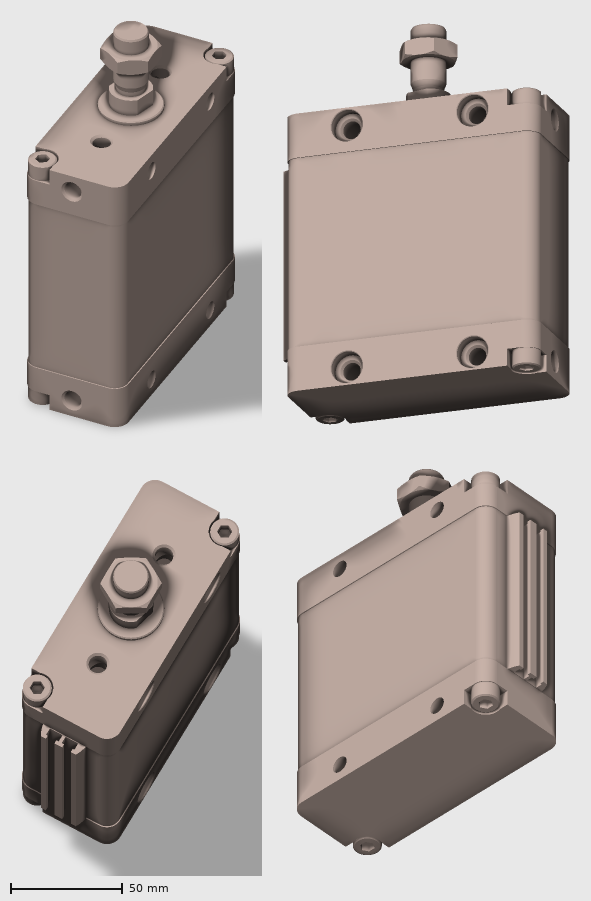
import cadquery as cq
import math


TOTAL_HEIGHT = 174.0
BODY_HEIGHT = 132.0
CAP_HEIGHT = 21.0
BARREL_HEIGHT = BODY_HEIGHT - 2 * CAP_HEIGHT

CAP_X = 50.0
CAP_Y = 121.0
CORNER_RADIUS = 7.0

BARREL_STEP = 0.5
RAIL_HEIGHT = 5.5
RAIL_FLOOR = 0.3
RAIL_LIP = 1.7
RIB_THICKNESS = 1.5
RIB_HEAD_WIDTH = 4.0
HOOK_TIP_X = 6.5
HOOK_WALL_X = 7.3
HOOK_TOP_X = 9.0
HOOK_BULGE_X = 10.3
HOOK_FOOT_X = 11.1

RECESS_DEPTH = 8.0
RECESS_DIAMETER = 14.5
RECESS_WALL = 6.8
HEAD_DIAMETER = 13.0
HEAD_TOP_DIAMETER = 11.5
HEAD_GAP = 0.2
HEAD_CHAMFER_HEIGHT = 0.5
SOCKET_FLATS = 6.0
SOCKET_DEPTH = 5.2
SOCKET_CONE_DEPTH = 1.7

HOLE_DIAMETER = 8.4
HOLE_MOUTH_DIAMETER = 10.5
HOLE_DEPTH = 15.0
HOLE_SPACING = 60.0
SIDE_HOLE_OFFSET = 8.5
COUNTERBORE_DIAMETER = 15.0
COUNTERBORE_MOUTH_DIAMETER = 15.7
COUNTERBORE_DEPTH = 6.0

COLLAR_DIAMETER = 30.0
COLLAR_HEIGHT = 2.1
COLLAR_CHAMFER = 0.5

ROD_DIAMETER = 20.0
ROD_FLATS = 17.0
ROD_FLATS_ANGLE = -15.0
ROD_SHOULDER_Z = 142.3
THREAD_DIAMETER = 16.0
THREAD_TIP_DIAMETER = 15.0
THREAD_TIP_LENGTH = 0.9
THREAD_END_Z = 147.5
NECK_DIAMETER = 14.0
NECK_TOP_Z = 144.8

NUT_FLATS = 24.0
NUT_HEIGHT = 8.0
NUT_TOP_Z = 166.0
NUT_CHAMFER_ANGLE = 30.0


def revolved(profile):
    """Solid of revolution about Z from (radius, height) points."""
    return cq.Workplane("XZ").polyline(profile).close().revolve(360, (0, 0), (0, 1))


def across_corners(flats):
    """Distance across the corners of a hexagon with the given distance across flats."""
    return flats / math.cos(math.pi / 6)


def hexagon_prism(flats, height):
    """Hexagon prism that stands on Z = 0 with two flats facing +X and -X."""
    prism = cq.Workplane("XY").polygon(6, across_corners(flats)).extrude(height)
    return prism.rotate((0, 0, 0), (0, 0, 1), 30)


def mouthed_hole(diameter, mouth_diameter, depth):
    """Cutter that goes down from Z = 0, with a 45 degree chamfer at its mouth."""
    radius = diameter / 2
    mouth_radius = mouth_diameter / 2
    return revolved([
        (0, 0),
        (mouth_radius, 0),
        (radius, radius - mouth_radius),
        (radius, -depth),
        (0, -depth),
    ])


def corner_recess():
    """Cutter for the screw recess at the -X, -Y corner, seen from the screw axis."""
    floor_z = CAP_HEIGHT - RECESS_DEPTH
    round_part = cq.Workplane("XY").circle(RECESS_DIAMETER / 2)
    round_part = round_part.extrude(RECESS_DEPTH)
    toward_y = cq.Workplane("XY").box(
        CORNER_RADIUS + RECESS_WALL, CORNER_RADIUS, RECESS_DEPTH, centered=False
    ).translate((-CORNER_RADIUS, -CORNER_RADIUS, 0))
    toward_x = cq.Workplane("XY").box(
        CORNER_RADIUS, CORNER_RADIUS + RECESS_WALL, RECESS_DEPTH, centered=False
    ).translate((-CORNER_RADIUS, -CORNER_RADIUS, 0))
    return round_part.union(toward_y).union(toward_x).translate((0, 0, floor_z))


def screw_head():
    """Chamfered screw head on the recess floor, with a hexagon socket that ends in a cone."""
    floor_z = CAP_HEIGHT - RECESS_DEPTH
    top_z = CAP_HEIGHT - HEAD_GAP
    head = revolved([
        (0, floor_z),
        (HEAD_DIAMETER / 2, floor_z),
        (HEAD_DIAMETER / 2, top_z - HEAD_CHAMFER_HEIGHT),
        (HEAD_TOP_DIAMETER / 2, top_z),
        (0, top_z),
    ])
    socket = hexagon_prism(SOCKET_FLATS, SOCKET_DEPTH).translate((0, 0, top_z - SOCKET_DEPTH))
    cone = revolved([(0, 0), (SOCKET_FLATS / 2, 0), (0, -SOCKET_CONE_DEPTH)])
    return head.cut(socket).cut(cone.translate((0, 0, top_z - SOCKET_DEPTH)))


def end_cap():
    """Cap with its inner face at Z = 0 and its screw heads at the outer face above."""
    cap = cq.Workplane("XY").rect(CAP_X, CAP_Y).extrude(CAP_HEIGHT)
    cap = cap.edges("|Z").fillet(CORNER_RADIUS)
    side_hole_z = CAP_HEIGHT - SIDE_HOLE_OFFSET

    port = mouthed_hole(HOLE_DIAMETER, HOLE_MOUTH_DIAMETER, HOLE_DEPTH)
    port = port.rotate((0, 0, 0), (1, 0, 0), 90)
    cap = cap.cut(port.translate((0, -CAP_Y / 2, side_hole_z)))

    counterbore = mouthed_hole(COUNTERBORE_DIAMETER, COUNTERBORE_MOUTH_DIAMETER, COUNTERBORE_DEPTH)
    through_hole = mouthed_hole(HOLE_DIAMETER, HOLE_MOUTH_DIAMETER, CAP_X - COUNTERBORE_DEPTH)
    cross_hole = counterbore.union(through_hole.translate((0, 0, -COUNTERBORE_DEPTH)))
    cross_hole = cross_hole.rotate((0, 0, 0), (0, 1, 0), -90)
    for side in (-1, 1):
        place = (-CAP_X / 2, side * HOLE_SPACING / 2, side_hole_z)
        cap = cap.cut(cross_hole.translate(place))

    screw_place = (CORNER_RADIUS - CAP_X / 2, CORNER_RADIUS - CAP_Y / 2, 0)
    for turn in (0, 180):
        recess = corner_recess().translate(screw_place).rotate((0, 0, 0), (0, 0, 1), turn)
        head = screw_head().translate(screw_place).rotate((0, 0, 0), (0, 0, 1), turn)
        cap = cap.cut(recess).union(head)
    return cap


def make_rear_cap():
    return end_cap().mirror("XY").translate((0, 0, CAP_HEIGHT))


def make_front_cap():
    """End cap with mounting holes in its outer face and a collar for the rod."""
    cap = end_cap()
    mounting_hole = mouthed_hole(HOLE_DIAMETER, HOLE_MOUTH_DIAMETER, HOLE_DEPTH)
    for side in (-1, 1):
        cap = cap.cut(mounting_hole.translate((0, side * HOLE_SPACING / 2, CAP_HEIGHT)))
    collar = cq.Workplane("XY").circle(COLLAR_DIAMETER / 2).extrude(COLLAR_HEIGHT)
    collar = collar.faces(">Z").chamfer(COLLAR_CHAMFER)
    cap = cap.union(collar.translate((0, 0, CAP_HEIGHT)))
    return cap.translate((0, 0, BODY_HEIGHT - CAP_HEIGHT))


def make_barrel():
    """Barrel with a sensor rail of two hooks and a middle T rib on its +Y side."""
    barrel = cq.Workplane("XY").rect(CAP_X - 2 * BARREL_STEP, CAP_Y - 2 * BARREL_STEP)
    barrel = barrel.extrude(BARREL_HEIGHT).edges("|Z").fillet(CORNER_RADIUS - BARREL_STEP)

    side_y = CAP_Y / 2 - BARREL_STEP
    floor_y = CAP_Y / 2 + RAIL_FLOOR
    rail_y = CAP_Y / 2 + RAIL_HEIGHT
    lip_y = rail_y - RAIL_LIP
    rib_x = RIB_THICKNESS / 2
    rib_head_x = RIB_HEAD_WIDTH / 2
    half_rail = (
        cq.Workplane("XY")
        .moveTo(0, side_y)
        .lineTo(HOOK_FOOT_X, side_y)
        .threePointArc((HOOK_BULGE_X, (floor_y + rail_y) / 2), (HOOK_TOP_X, rail_y))
        .lineTo(HOOK_TIP_X, rail_y)
        .lineTo(HOOK_TIP_X, lip_y)
        .lineTo(HOOK_WALL_X, lip_y)
        .lineTo(HOOK_WALL_X, floor_y)
        .lineTo(rib_x, floor_y)
        .lineTo(rib_x, lip_y)
        .lineTo(rib_head_x, lip_y)
        .lineTo(rib_head_x, rail_y)
        .lineTo(0, rail_y)
        .close()
        .extrude(BARREL_HEIGHT)
    )
    rail = half_rail.union(half_rail.mirror("YZ"))
    return barrel.union(rail).translate((0, 0, CAP_HEIGHT))


def make_rod():
    """Rod from the collar up: wrench flats, thread undercut and thread."""
    rod_bottom_z = BODY_HEIGHT + COLLAR_HEIGHT
    rod = revolved([
        (0, rod_bottom_z),
        (ROD_DIAMETER / 2, rod_bottom_z),
        (ROD_DIAMETER / 2, ROD_SHOULDER_Z),
        (NECK_DIAMETER / 2, ROD_SHOULDER_Z),
        (NECK_DIAMETER / 2, NECK_TOP_Z),
        (THREAD_DIAMETER / 2, THREAD_END_Z),
        (THREAD_DIAMETER / 2, TOTAL_HEIGHT - THREAD_TIP_LENGTH),
        (THREAD_TIP_DIAMETER / 2, TOTAL_HEIGHT),
        (0, TOTAL_HEIGHT),
    ])
    between_flats = cq.Workplane("XY").rect(ROD_FLATS, ROD_DIAMETER).extrude(TOTAL_HEIGHT)
    return rod.intersect(between_flats.rotate((0, 0, 0), (0, 0, 1), ROD_FLATS_ANGLE))


def make_nut():
    """Hexagon nut with flats facing X, its corners chamfered at both ends."""
    hexagon = hexagon_prism(NUT_FLATS, NUT_HEIGHT)
    flat_radius = NUT_FLATS / 2
    corner_radius = across_corners(NUT_FLATS) / 2
    chamfer_height = (corner_radius - flat_radius) * math.tan(math.radians(NUT_CHAMFER_ANGLE))
    chamfered_round = revolved([
        (0, 0),
        (flat_radius, 0),
        (corner_radius, chamfer_height),
        (corner_radius, NUT_HEIGHT - chamfer_height),
        (flat_radius, NUT_HEIGHT),
        (0, NUT_HEIGHT),
    ])
    bore = cq.Workplane("XY").circle(THREAD_DIAMETER / 2).extrude(NUT_HEIGHT)
    nut = hexagon.intersect(chamfered_round).cut(bore)
    return nut.translate((0, 0, NUT_TOP_Z - NUT_HEIGHT))


rear_cap = make_rear_cap()
barrel = make_barrel()
front_cap = make_front_cap()
rod = make_rod()
nut = make_nut()

result = cq.Compound.makeCompound([
    rear_cap.val(),
    barrel.val(),
    front_cap.val(),
    rod.val(),
    nut.val(),
])